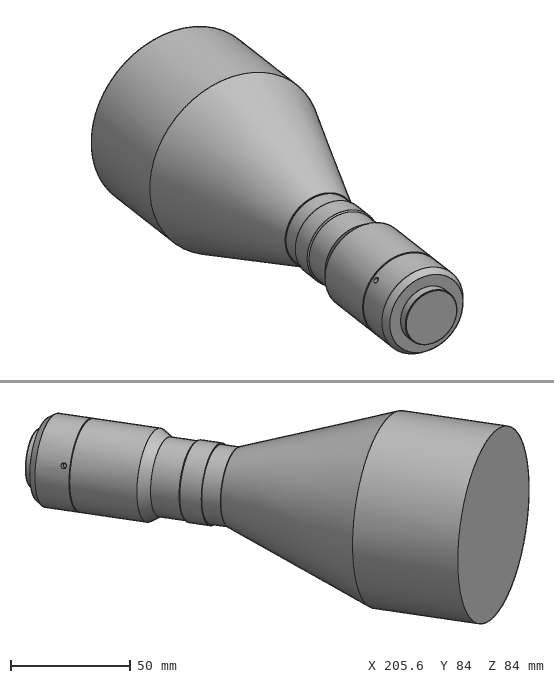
import cadquery as cq
import math

HEAD_RADIUS = 42.0
NECK_RADIUS = 17.0
RING_RADIUS = 17.6
BARREL_RADIUS = 20.0
MOUNT_RADIUS = 12.7

HEAD_END = 47.3
CONE_END = 115.9
RING_START = 124.6
RING_END = 134.2
FLARE_START = 147.6
BARREL_START = 152.6
BARREL_JOINT = 182.9
BARREL_END = 201.5
TOTAL_LENGTH = 205.6

BARREL_CHAMFER_LENGTH = 3.1
BARREL_CHAMFER_DEPTH = 2.0
MOUNT_CHAMFER = 0.3
RING_CHAMFER = RING_RADIUS - NECK_RADIUS
CONE_CHAMFER = 0.3

JOINT_GROOVE_WIDTH = 0.2
JOINT_GROOVE_DEPTH = 0.3

SCREW_COUNT = 3
SCREW_DIAMETER = 2.4
SCREW_DEPTH = 3.0
SCREW_X = 185.9
FIRST_SCREW_ANGLE = 40.5


def turned_body():
    """Head, cone, neck, ring, barrel and mount as one revolved outline."""
    outline = [
        (0, 0),
        (0, HEAD_RADIUS),
        (HEAD_END, HEAD_RADIUS),
        (CONE_END, NECK_RADIUS + CONE_CHAMFER),
        (CONE_END + CONE_CHAMFER, NECK_RADIUS),
        (RING_START, NECK_RADIUS),
        (RING_START, RING_RADIUS),
        (RING_END, RING_RADIUS),
        (RING_END + RING_CHAMFER, NECK_RADIUS),
        (FLARE_START, NECK_RADIUS),
        (BARREL_START, BARREL_RADIUS),
        (BARREL_END - BARREL_CHAMFER_LENGTH, BARREL_RADIUS),
        (BARREL_END, BARREL_RADIUS - BARREL_CHAMFER_DEPTH),
        (BARREL_END, MOUNT_RADIUS),
        (TOTAL_LENGTH - MOUNT_CHAMFER, MOUNT_RADIUS),
        (TOTAL_LENGTH, MOUNT_RADIUS - MOUNT_CHAMFER),
        (TOTAL_LENGTH, 0),
    ]
    return cq.Workplane("XY").polyline(outline).close().revolve(360, (0, 0, 0), (1, 0, 0))


def barrel_groove():
    """Ring of material to remove to leave a fine groove around the barrel."""
    return (
        cq.Workplane("YZ", origin=(BARREL_JOINT, 0, 0))
        .circle(BARREL_RADIUS + JOINT_GROOVE_DEPTH)
        .circle(BARREL_RADIUS - JOINT_GROOVE_DEPTH)
        .extrude(JOINT_GROOVE_WIDTH)
    )


def screw_hole(angle):
    """Radial blind hole cutter entering the barrel at the given angle in degrees."""
    outward = cq.Vector(0, -math.cos(math.radians(angle)), math.sin(math.radians(angle)))
    floor = cq.Vector(SCREW_X, 0, 0) + outward * (BARREL_RADIUS - SCREW_DEPTH)
    return cq.Solid.makeCylinder(SCREW_DIAMETER / 2, 2 * SCREW_DEPTH, floor, outward)


result = turned_body()
result = result.cut(barrel_groove())
for index in range(SCREW_COUNT):
    result = result.cut(screw_hole(FIRST_SCREW_ANGLE + index * 360 / SCREW_COUNT))